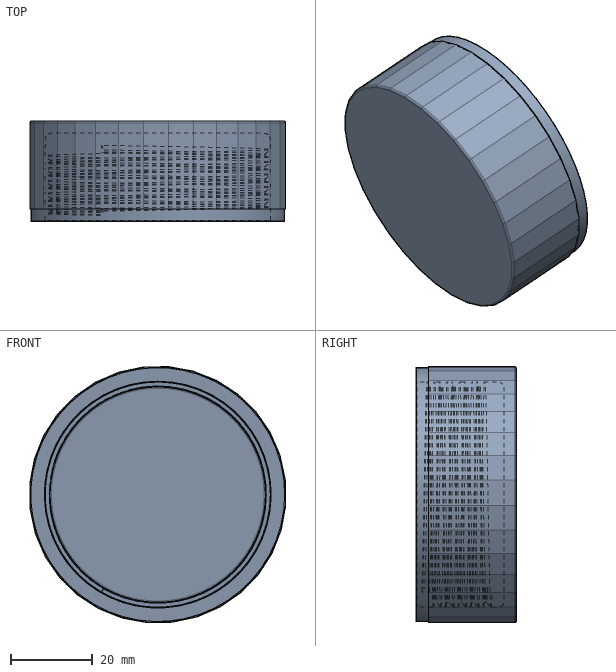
import cadquery as cq
import math

width = 62.5
height = 24.5

facet_count = 32
facet_pitch = 360 / facet_count
corner_angle = 4.8
grip_radius = width / 2 / math.cos(math.radians(corner_angle))
ring_radius = 62.0 / 2
ring_length = 3.0
back_round = 0.5

bore_radius = 55.0 / 2
floor_thickness = 3.0
floor_fillet = 1.5
mouth_chamfer = 0.2

thread_pitch = 3.05
thread_turns = 5
thread_start = 1.45
thread_start_angle = -120.0
crest_radius = 52.6 / 2
crest_width = 0.5
crest_round = 0.2
back_run = 1.1
root_overlap = 0.3

mouth = cq.Plane(origin=(0, 0, 0), xDir=(1, 0, 0), normal=(0, 1, 0))


def make_grip():
    corners = []
    for index in range(facet_count):
        angle = math.radians(corner_angle + index * facet_pitch)
        corners.append((grip_radius * math.cos(angle), grip_radius * math.sin(angle)))
    grip = cq.Workplane(mouth).workplane(offset=ring_length).polyline(corners).close()
    grip = grip.extrude(height - ring_length)
    return grip.faces(">Y").edges().fillet(back_round)


def make_ring():
    return cq.Workplane(mouth).circle(ring_radius).extrude(ring_length)


def make_cavity():
    cavity = cq.Workplane(mouth).circle(bore_radius).extrude(height - floor_thickness)
    cavity = cavity.faces(">Y").edges().fillet(floor_fillet)
    mouth_radius = bore_radius + mouth_chamfer
    lead_in = cq.Solid.makeCone(mouth_radius, bore_radius, mouth_chamfer, mouth.origin, mouth.zDir)
    return cavity.union(cq.Workplane(lead_in))


def make_thread():
    root_radius = bore_radius + root_overlap
    back_crest = crest_round + crest_width
    back_root = back_crest + back_run * (root_radius - crest_radius) / (bore_radius - crest_radius)
    profile = (
        cq.Workplane("XZ")
        .moveTo(root_radius, 0)
        .lineTo(crest_radius + crest_round, 0)
        .radiusArc((crest_radius, crest_round), crest_round)
        .lineTo(crest_radius, back_crest)
        .lineTo(root_radius, back_root)
        .close()
    )
    helix = cq.Wire.makeHelix(thread_pitch, thread_turns * thread_pitch, bore_radius)
    thread = profile.sweep(cq.Workplane(helix), isFrenet=True)
    thread = thread.rotate((0, 0, 0), (1, 0, 0), -90)
    thread = thread.rotate((0, 0, 0), (0, 1, 0), -thread_start_angle)
    return thread.translate((0, thread_start, 0))


result = make_grip().union(make_ring()).cut(make_cavity()).union(make_thread())